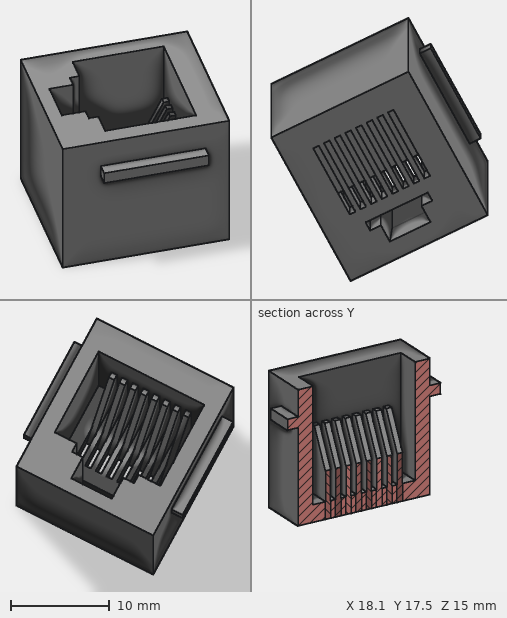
import cadquery as cq

HOUSING_WIDTH = 15.6
HOUSING_DEPTH = 17.5
HOUSING_HEIGHT = 15.0
BACK_Y = HOUSING_DEPTH / 2

OVERALL_WIDTH = 18.1
RAIL_LENGTH = 11.0
RAIL_HEIGHT = 1.25
RAIL_BACK_INSET = 2.5
RAIL_TOP_DROP = 2.97

CAVITY_WIDTH = 12.04
CAVITY_DEPTH = 9.55
BACK_WALL = 2.99
FLOOR_THICKNESS = 2.0
CAVITY_BACK_Y = BACK_Y - BACK_WALL
CAVITY_FRONT_Y = CAVITY_BACK_Y - CAVITY_DEPTH

KEYWAY_WIDTH = 7.05
KEYWAY_DEPTH = 1.0
LATCH_WIDTH = 4.62
LATCH_DEPTH = 2.5
RAMP_RUN = 0.52
RAMP_RISE = 5.07

CONTACT_COUNT = 8
CONTACT_PITCH = 1.21
CONTACT_WIDTH = 0.63
CONTACT_HEIGHT = 9.55
CONTACT_TOP_DEPTH = 0.6
CONTACT_BASE_DEPTH = 5.47
SLOT_LENGTH = 8.05
CONTACT_CENTRES = [
    (index - (CONTACT_COUNT - 1) / 2) * CONTACT_PITCH for index in range(CONTACT_COUNT)
]


def block(width, back_y, depth, bottom_z, height, centre_x=0):
    """Box centred on centre_x that runs forward from back_y and up from bottom_z."""
    corner = (centre_x - width / 2, back_y - depth, bottom_z)
    return cq.Workplane("XY").box(width, depth, height, centered=False).translate(corner)


def extrude_profile(points, width, centre_x=0):
    """Solid of the given width, centred on centre_x, from a closed (y, z) profile."""
    profile = cq.Workplane("YZ", origin=(centre_x, 0, 0)).polyline(points).close()
    return profile.extrude(width / 2, both=True)


def make_keyway():
    """Cutter for the wide step and the latch slot, leaving a steep ramp at the slot's foot."""
    latch_back_y = CAVITY_FRONT_Y - KEYWAY_DEPTH
    latch_front_y = latch_back_y - LATCH_DEPTH
    step = block(KEYWAY_WIDTH, CAVITY_FRONT_Y, KEYWAY_DEPTH, 0, HOUSING_HEIGHT)
    latch = block(LATCH_WIDTH, latch_back_y, LATCH_DEPTH, 0, HOUSING_HEIGHT)
    ramp = extrude_profile(
        [(latch_front_y, 0), (latch_front_y + RAMP_RUN, 0), (latch_front_y, RAMP_RISE)],
        LATCH_WIDTH,
    )
    return step.union(latch.cut(ramp))


def make_housing():
    """Block with side rails, plug cavity, latch keyway and contact slots."""
    body = block(HOUSING_WIDTH, BACK_Y, HOUSING_DEPTH, 0, HOUSING_HEIGHT)
    rail_bottom_z = HOUSING_HEIGHT - RAIL_TOP_DROP - RAIL_HEIGHT
    rails = block(OVERALL_WIDTH, BACK_Y - RAIL_BACK_INSET, RAIL_LENGTH, rail_bottom_z, RAIL_HEIGHT)
    cavity_height = HOUSING_HEIGHT - FLOOR_THICKNESS
    cavity = block(CAVITY_WIDTH, CAVITY_BACK_Y, CAVITY_DEPTH, FLOOR_THICKNESS, cavity_height)
    body = body.union(rails).cut(cavity).cut(make_keyway())
    for centre_x in CONTACT_CENTRES:
        body = body.cut(block(CONTACT_WIDTH, CAVITY_BACK_Y, SLOT_LENGTH, 0, FLOOR_THICKNESS, centre_x))
    return body


def make_contact(centre_x):
    """Upright wedge against the back wall, its front face sloping out to the base."""
    profile = [
        (CAVITY_BACK_Y, 0),
        (CAVITY_BACK_Y, CONTACT_HEIGHT),
        (CAVITY_BACK_Y - CONTACT_TOP_DEPTH, CONTACT_HEIGHT),
        (CAVITY_BACK_Y - CONTACT_BASE_DEPTH, 0),
    ]
    return extrude_profile(profile, CONTACT_WIDTH, centre_x)


housing = make_housing()
contacts = [make_contact(centre_x) for centre_x in CONTACT_CENTRES]

result = cq.Compound.makeCompound([housing.val(), *[contact.val() for contact in contacts]])